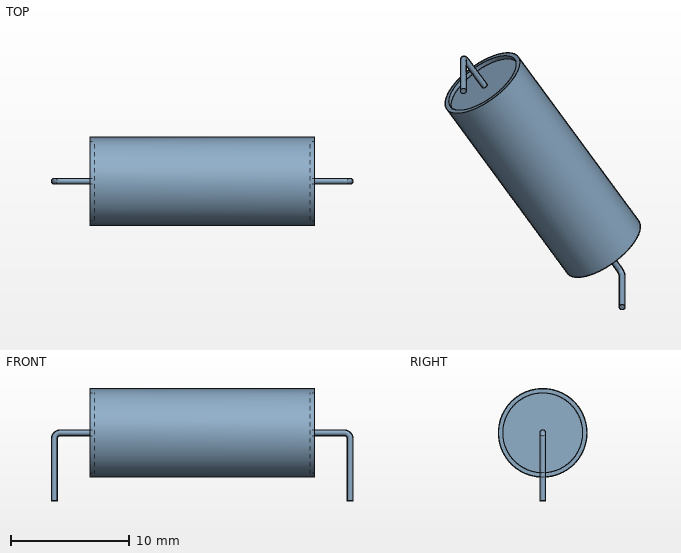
import cadquery as cq

body_diameter = 7.5
body_length = 19.0

rim_width = 0.375
recess_diameter = body_diameter - 2 * rim_width
recess_depth = rim_width

wire_diameter = 0.5
lead_pitch = 25.0
bend_radius = 0.5
lead_drop = 5.75

half_length = body_length / 2
half_pitch = lead_pitch / 2


def make_body():
    """Cylinder with a round recess in both ends."""
    left_end = cq.Workplane("YZ", origin=(-half_length, 0, 0))
    blank = left_end.circle(body_diameter / 2).extrude(body_length)
    left_recess = left_end.circle(recess_diameter / 2).extrude(recess_depth)
    return blank.cut(left_recess).cut(left_recess.mirror("YZ"))


def make_leads():
    """One wire running along the body axis and bent down at both ends."""
    path = (
        cq.Workplane("XZ")
        .moveTo(-half_pitch, -lead_drop)
        .lineTo(-half_pitch, -bend_radius)
        .radiusArc((-half_pitch + bend_radius, 0), bend_radius)
        .lineTo(half_pitch - bend_radius, 0)
        .radiusArc((half_pitch, -bend_radius), bend_radius)
        .lineTo(half_pitch, -lead_drop)
    )
    tip = cq.Workplane("XY", origin=(-half_pitch, 0, -lead_drop))
    return tip.circle(wire_diameter / 2).sweep(path)


result = make_body().union(make_leads())